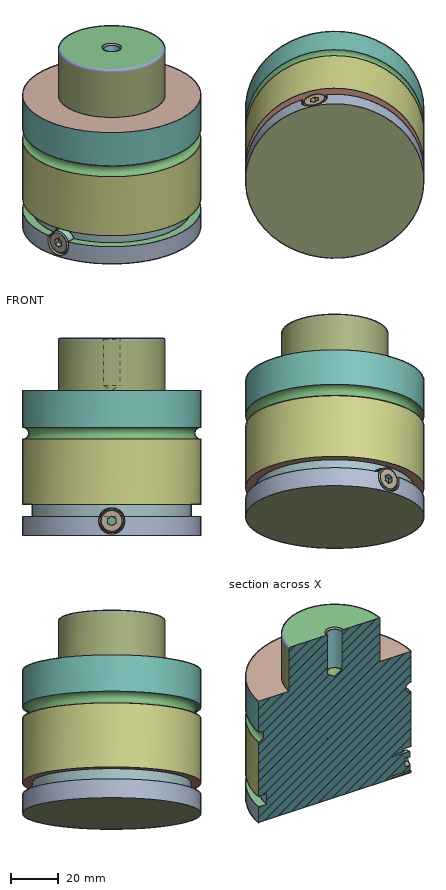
import cadquery as cq
import math

total_height = 83.0
body_diameter = 75.0
body_top = 61.0
boss_diameter = 45.0
boss_edge_radius = 1.1

round_groove_radius = 2.5
round_groove_height = 43.0

flange_height = 8.05
neck_diameter = 67.0
neck_top = 13.1

hole_diameter = 6.8
hole_mouth_diameter = 8.1
hole_depth = 19.9
drill_point_angle = 118.0

screw_height = 6.15
screw_pocket_diameter = 11.0
screw_pocket_floor_radius = 28.2
screw_diameter = 10.0
screw_face_radius = 37.0
screw_chamfer = 0.6
hex_across_flats = 3.5
hex_depth = 2.5

body_radius = body_diameter / 2
boss_radius = boss_diameter / 2
neck_radius = neck_diameter / 2


def make_body():
    """Revolve the stepped half profile, with both grooves, around Z."""
    profile = (
        cq.Workplane("XZ")
        .lineTo(body_radius, 0)
        .lineTo(body_radius, flange_height)
        .lineTo(neck_radius, flange_height)
        .lineTo(neck_radius, neck_top)
        .lineTo(body_radius, neck_top)
        .lineTo(body_radius, round_groove_height - round_groove_radius)
        .threePointArc(
            (body_radius - round_groove_radius, round_groove_height),
            (body_radius, round_groove_height + round_groove_radius),
        )
        .lineTo(body_radius, body_top)
        .lineTo(boss_radius, body_top)
        .lineTo(boss_radius, total_height - boss_edge_radius)
        .tangentArcPoint((boss_radius - boss_edge_radius, total_height), relative=False)
        .lineTo(0, total_height)
        .close()
    )
    return profile.revolve(360, (0, 0, 0), (0, 1, 0))


def make_top_hole():
    """Blind drilled hole with a 45 degree mouth and a conical bottom."""
    hole_radius = hole_diameter / 2
    mouth_radius = hole_mouth_diameter / 2
    mouth_depth = mouth_radius - hole_radius
    point_depth = hole_radius / math.tan(math.radians(drill_point_angle / 2))
    hole_floor = total_height - hole_depth
    profile = (
        cq.Workplane("XZ")
        .moveTo(0, total_height)
        .lineTo(mouth_radius, total_height)
        .lineTo(hole_radius, total_height - mouth_depth)
        .lineTo(hole_radius, hole_floor)
        .lineTo(0, hole_floor - point_depth)
        .close()
    )
    return profile.revolve(360, (0, 0, 0), (0, 1, 0))


def radial_plane(radius):
    """Plane facing -Y, on the screw axis at the given distance from Z."""
    return cq.Workplane("XZ", origin=(0, -radius, screw_height))


def make_screw_pocket():
    pocket_length = body_radius - screw_pocket_floor_radius
    return (
        radial_plane(screw_pocket_floor_radius)
        .circle(screw_pocket_diameter / 2)
        .extrude(pocket_length)
    )


def make_screw():
    """Chamfered screw head with a hexagonal socket, standing on the pocket floor."""
    head = (
        radial_plane(screw_pocket_floor_radius)
        .circle(screw_diameter / 2)
        .extrude(screw_face_radius - screw_pocket_floor_radius)
        .faces("<Y")
        .chamfer(screw_chamfer)
    )
    hex_across_corners = hex_across_flats / math.cos(math.pi / 6)
    socket = (
        radial_plane(screw_face_radius - hex_depth)
        .transformed(rotate=(0, 0, 90))
        .polygon(6, hex_across_corners)
        .extrude(hex_depth)
    )
    return head.cut(socket)


result = make_body().cut(make_top_hole()).cut(make_screw_pocket()).union(make_screw())